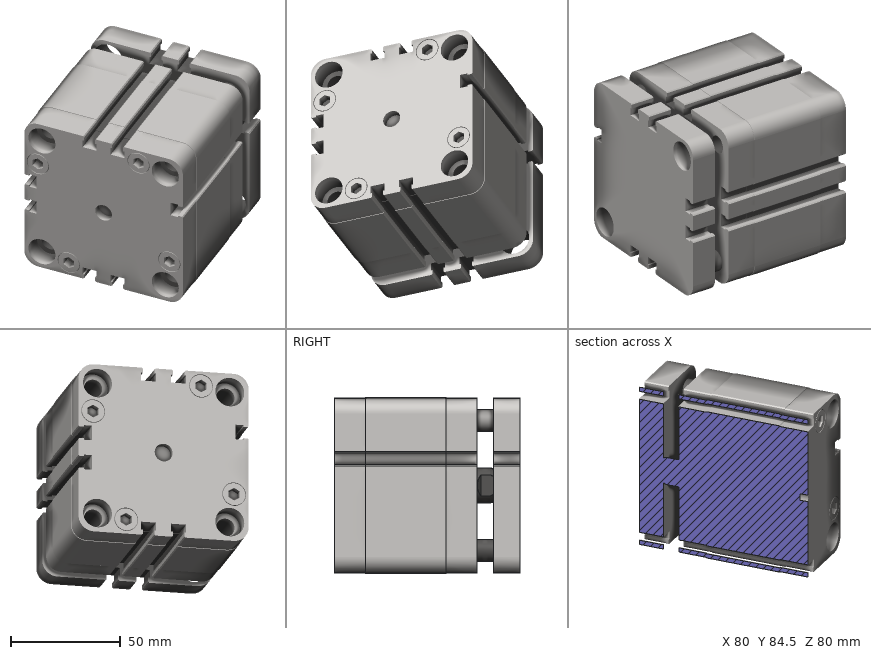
import cadquery as cq


total_length = 84.5
cap_length = 14.2
barrel_length = 36.5
plate_thickness = 12.2
body_length = 2 * cap_length + barrel_length
plate_start = total_length - plate_thickness
gap = plate_start - body_length

barrel_width = 80.0
barrel_overhang = 0.25
cap_width = barrel_width - 2 * barrel_overhang
corner_center = 32.7

slot_offset = 7.0
single_slot_offset = 12.2
slot_opening = 5.4
slot_inner_width = 6.9
slot_lip = 2.45
slot_depth = 6.2
slot_edge_chamfer = 0.5

mount_offset = 30.9
mount_diameter = 8.5
counterbore_diameter = 13.5
counterbore_depth = 8.9
plate_hole_diameter = 14.0

screw_near = 17.5
screw_far = 32.95
screw_seat_diameter = 11.1
screw_head_diameter = 10.5
screw_groove_depth = 1.0
hex_corner_diameter = 6.0
hex_depth = 4.2

center_hole_diameter = 8.4
center_hole_depth = 4.0

pin_diameter = 10.1
pin_offset = 29.6
rod_diameter = 16.0
rod_flat_width = 12.7
rod_collar_length = 0.2
rod_chamfer_radial = 0.4
rod_chamfer_length = 1.4


def plane_at(y):
    """Sketch plane facing +Y at height y, with local axes Z and X."""
    return cq.Workplane(cq.Plane(origin=(0, y, 0), xDir=(0, 0, 1), normal=(0, 1, 0)))


def cylinder(x, z, diameter, start, length):
    return plane_at(start).center(z, x).circle(diameter / 2).extrude(length)


def t_slot(start, length, width):
    """Cutter for a T-slot in the +X face, centred on z = 0."""
    face = width / 2
    neck = slot_opening / 2
    mouth = neck + slot_edge_chamfer
    inner = slot_inner_width / 2
    half = [
        (mouth, face),
        (neck, face - slot_edge_chamfer),
        (neck, face - slot_lip),
        (inner, face - slot_lip),
        (inner, face - slot_depth),
    ]
    mirrored = [(-z, x) for z, x in reversed(half)]
    return plane_at(start).polyline(half + mirrored).close().extrude(length)


def section(start, length, width):
    """Rounded square block with T-slots in all four sides."""
    block = plane_at(start).rect(width, width).extrude(length)
    block = block.edges("|Y").fillet(width / 2 - corner_center)
    slot = t_slot(start, length, width)
    block = block.cut(slot.translate((0, 0, single_slot_offset)))
    for side_angle in (90, 180, 270):
        for offset in (-slot_offset, slot_offset):
            turned = slot.translate((0, 0, offset)).rotate((0, 0, 0), (0, 1, 0), side_angle)
            block = block.cut(turned)
    return block


def piston_rod():
    """Round rod with two wrench flats that run out at 45 degrees near the body."""
    rod = cylinder(0, 0, rod_diameter, body_length, gap)
    rod = rod.faces(">Y").chamfer(rod_chamfer_length, rod_chamfer_radial)
    flat = rod_flat_width / 2
    base = rod_diameter / 2
    step = base - flat
    collar_end = body_length + rod_collar_length
    half = [
        (base, body_length),
        (base, collar_end),
        (flat, collar_end + step),
        (flat, plate_start),
    ]
    mirrored = [(-x, y) for x, y in reversed(half)]
    envelope = cq.Workplane("XY").polyline(half + mirrored).close().extrude(base, both=True)
    return rod.intersect(envelope)


def mounting_hole(x, z):
    """Counterbored hole: through at the access corners, blind behind a guide pin."""
    behind_pin = x * z > 0
    depth = body_length - cap_length if behind_pin else body_length
    hole = cylinder(x, z, mount_diameter, 0, depth)
    return hole.union(cylinder(x, z, counterbore_diameter, 0, counterbore_depth))


def screw_recess(x, z):
    """Ring groove around a screw head, and the hexagon socket in the head."""
    groove = cylinder(x, z, screw_seat_diameter, 0, screw_groove_depth)
    groove = groove.cut(cylinder(x, z, screw_head_diameter, 0, screw_groove_depth))
    socket = plane_at(0).center(z, x).polygon(6, hex_corner_diameter).extrude(hex_depth)
    return groove.union(socket)


result = section(0, cap_length, cap_width)
result = result.union(section(cap_length, barrel_length, barrel_width))
result = result.union(section(cap_length + barrel_length, cap_length, cap_width))

for x_side in (-1, 1):
    for z_side in (-1, 1):
        result = result.cut(mounting_hole(x_side * mount_offset, z_side * mount_offset))

screw_places = [
    (screw_near, screw_far),
    (screw_far, -screw_near),
    (-screw_near, -screw_far),
    (-screw_far, screw_near),
]
for x, z in screw_places:
    result = result.cut(screw_recess(x, z))

result = result.cut(cylinder(0, 0, center_hole_diameter, 0, center_hole_depth))

plate = section(plate_start, plate_thickness, cap_width)
for side in (-1, 1):
    access_hole = cylinder(
        side * mount_offset, -side * mount_offset, plate_hole_diameter, plate_start, plate_thickness
    )
    plate = plate.cut(access_hole)
result = result.union(plate)

result = result.union(piston_rod())
for side in (-1, 1):
    pin = cylinder(side * pin_offset, side * pin_offset, pin_diameter, body_length, gap)
    result = result.union(pin)